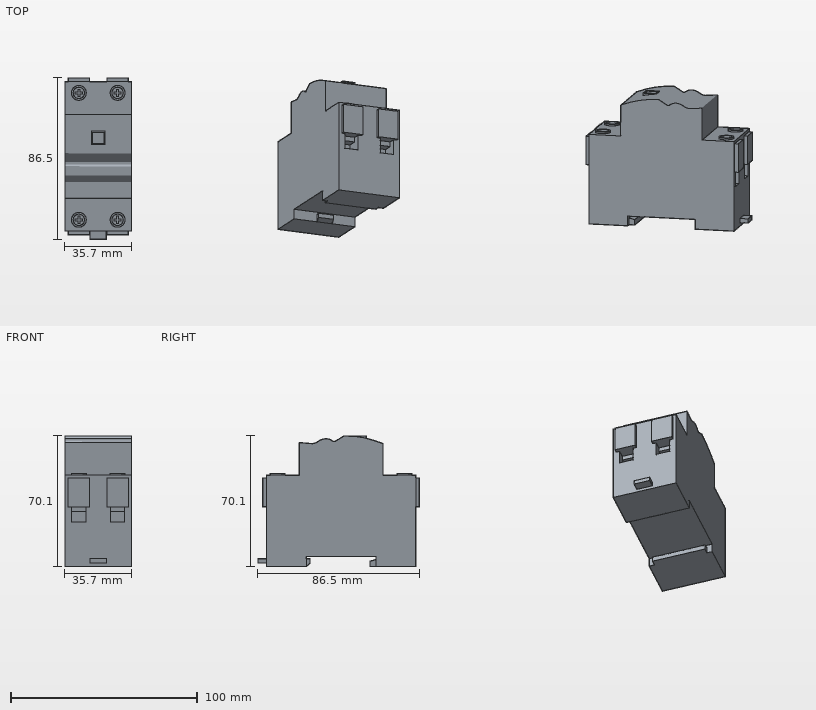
import cadquery as cq


width = 35.7
body_length = 80.0
shoulder_height = 49.05
total_height = 70.1
tower_length = 45.0
back_y = body_length / 2
front_y = -back_y
tower_back_y = tower_length / 2
tower_front_y = -tower_back_y

crown_back = (tower_back_y, 65.9)
crown_middle = (12.1, 69.0)
crown_peak = (1.6, total_height)
valley_start = (-2.9, 67.3)
valley_end = (-4.7, 67.4)
hump_top = (-8.5, 68.5)
hump_end = (-12.4, 67.0)
ledge_start = (-15.5, 65.9)
ledge_end = (tower_front_y, 66.5)
peak_radius = 1.0
tower_edge_radius = 0.5

rail_length = 37.2
rail_depth = 5.4
rail_back_y = rail_length / 2
rail_front_y = -rail_back_y
fixed_hook_width = 29.75
fixed_hook_reach = 3.2
fixed_hook_root = 3.8
fixed_hook_tip = 2.9

latch_width = 8.8
latch_bottom = 1.9
latch_top = 4.2
latch_tab_reach = 4.5
latch_hook_reach = 2.1

pole_x = 10.4
cover_width = 11.4
cover_bottom = 32.0
cover_top = 47.6
cover_thickness = 2.0
wire_slot_width = 7.6
wire_slot_bottom = 23.8
wire_slot_top = 29.4
wire_slot_depth = 10.4
wire_recess_depth = 4.3

screw_y = 34.0
well_outer_diameter = 8.0
well_inner_diameter = 6.05
well_rim_height = 0.9
well_depth = 2.0
cross_length = 3.9
cross_width = 1.0
cross_depth = 0.9

button_size = 7.3
button_face_size = 6.05
button_y = 9.9
button_recess = 0.3
button_root = 4.3


def box(x_size, y_from, y_to, z_from, z_to, x_center=0.0):
    """Block centred on x_center and spanning the given Y and Z ranges."""
    block = cq.Workplane("XY").box(x_size, abs(y_to - y_from), z_to - z_from)
    return block.translate((x_center, (y_from + y_to) / 2, (z_from + z_to) / 2))


def side_plane(x):
    """Sketch plane facing +X, with sketch coordinates (y, z)."""
    return cq.Workplane("YZ", origin=(x, 0, 0))


def round_edge(solid, y, z, radius):
    """Round the edge along X that passes through (y, z)."""
    return solid.edges(cq.selectors.NearestToPointSelector((0, y, z))).fillet(radius)


def housing():
    solid = (
        side_plane(-width / 2)
        .moveTo(front_y, 0)
        .lineTo(rail_front_y, 0)
        .lineTo(rail_front_y, rail_depth)
        .lineTo(rail_back_y, rail_depth)
        .lineTo(rail_back_y, 0)
        .lineTo(back_y, 0)
        .lineTo(back_y, shoulder_height)
        .lineTo(tower_back_y, shoulder_height)
        .lineTo(*crown_back)
        .threePointArc(crown_middle, crown_peak)
        .lineTo(*valley_start)
        .tangentArcPoint(valley_end, relative=False)
        .tangentArcPoint(hump_top, relative=False)
        .tangentArcPoint(hump_end, relative=False)
        .tangentArcPoint(ledge_start, relative=False)
        .lineTo(*ledge_end)
        .lineTo(tower_front_y, shoulder_height)
        .lineTo(front_y, shoulder_height)
        .close()
        .extrude(width)
    )
    solid = round_edge(solid, *crown_peak, peak_radius)
    solid = round_edge(solid, *crown_back, tower_edge_radius)
    return round_edge(solid, *ledge_end, tower_edge_radius)


def fixed_hook():
    tip_y = rail_back_y - fixed_hook_reach
    return (
        side_plane(-fixed_hook_width / 2)
        .moveTo(rail_back_y, 0)
        .lineTo(rail_back_y, fixed_hook_root)
        .lineTo(tip_y, fixed_hook_tip)
        .lineTo(tip_y, 0)
        .close()
        .extrude(fixed_hook_width)
    )


def latch():
    tab = box(latch_width, front_y - latch_tab_reach, front_y, latch_bottom, latch_top)
    hook_tip_y = rail_front_y + latch_hook_reach
    hook = (
        side_plane(-latch_width / 2)
        .moveTo(rail_front_y, 0)
        .lineTo(hook_tip_y, latch_bottom)
        .lineTo(hook_tip_y, latch_top)
        .lineTo(rail_front_y, latch_top)
        .close()
        .extrude(latch_width)
    )
    return tab.union(hook)


def add_terminal(solid, x, end):
    """Wire slot and cover at pole x; end is 1 for the back and -1 for the front."""
    face_y = end * back_y
    slot_y = face_y - end * wire_slot_depth
    recess_y = face_y - end * wire_recess_depth
    cover_y = face_y + end * cover_thickness
    solid = solid.cut(box(wire_slot_width, slot_y, face_y, wire_slot_bottom, wire_slot_top, x))
    solid = solid.cut(box(wire_slot_width, recess_y, face_y, wire_slot_top, cover_bottom, x))
    return solid.union(box(cover_width, face_y, cover_y, cover_bottom, cover_top, x))


def add_screw_well(solid, x, y):
    """Raised rim around a round well with a cross-head screw at its floor."""
    floor_z = shoulder_height + well_rim_height - well_depth
    rim = cq.Workplane("XY", origin=(x, y, shoulder_height)).circle(well_outer_diameter / 2)
    well = cq.Workplane("XY", origin=(x, y, floor_z)).circle(well_inner_diameter / 2)
    floor = cq.Workplane("XY", origin=(x, y, floor_z))
    solid = solid.union(rim.extrude(well_rim_height)).cut(well.extrude(well_depth))
    solid = solid.cut(floor.rect(cross_length, cross_width).extrude(-cross_depth))
    return solid.cut(floor.rect(cross_width, cross_length).extrude(-cross_depth))


def add_button(solid):
    """Square flat-topped button in a frame, level with the crown's peak."""
    top = cq.Workplane("XY", origin=(0, button_y, total_height))
    solid = solid.union(top.rect(button_size, button_size).extrude(-button_root))
    return solid.cut(top.rect(button_face_size, button_face_size).extrude(-button_recess))


result = housing().union(fixed_hook()).union(latch())
for end in (-1, 1):
    for x in (-pole_x, pole_x):
        result = add_terminal(result, x, end)
        result = add_screw_well(result, x, end * screw_y)
result = add_button(result)